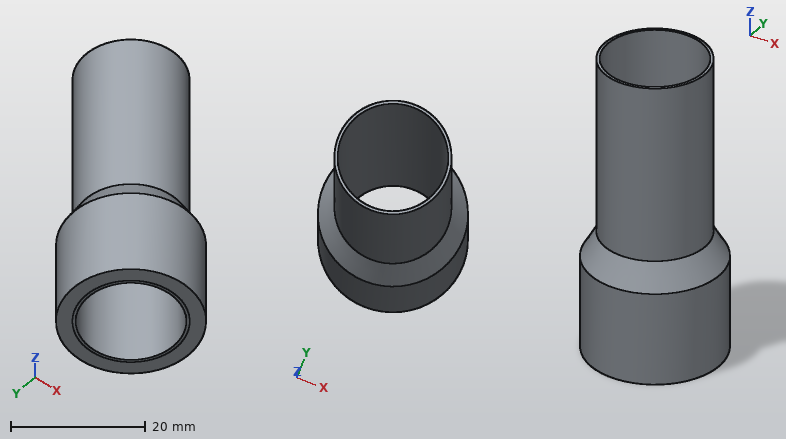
import cadquery as cq
import math

tube_length = 50.0
tube_outer_diameter = 17.5
tube_wall = 0.5
collar_height = 20.0
collar_diameter = 22.4
shoulder_half_angle = 30.0

tube_outer_radius = tube_outer_diameter / 2
tube_inner_radius = tube_outer_radius - tube_wall
collar_radius = collar_diameter / 2
shoulder_width = collar_radius - tube_outer_radius
shoulder_height = shoulder_width / math.tan(math.radians(shoulder_half_angle))
shoulder_base_z = collar_height - shoulder_height


def make_tube():
    """Thin-walled straight sleeve, open at both ends."""
    return (
        cq.Workplane("XY")
        .circle(tube_outer_radius)
        .circle(tube_inner_radius)
        .extrude(tube_length)
    )


def make_collar():
    """Collar around the lower tube, tapering to the tube's outer face at its top."""
    half_section = [
        (tube_outer_radius, 0),
        (collar_radius, 0),
        (collar_radius, shoulder_base_z),
        (tube_outer_radius, collar_height),
    ]
    return (
        cq.Workplane("XZ")
        .polyline(half_section)
        .close()
        .revolve(360, (0, 0), (0, 1))
    )


tube = make_tube()
collar = make_collar()

result = cq.Compound.makeCompound([tube.val(), collar.val()])